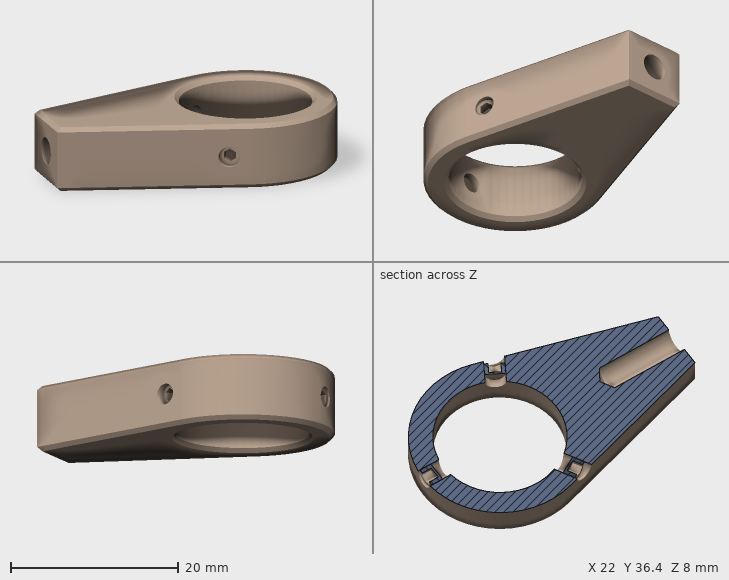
import cadquery as cq
import math

length = 36.4
thickness = 8.0
ring_diameter = 22.0
bore_diameter = 16.0
end_width = 8.0
edge_chamfer = 0.5

end_hole_diameter = 3.3
end_hole_depth = 10.0
drill_point_angle = 118.0

screw_angles = [90, 210, 330]
screw_diameter = 2.5
screw_length = 1.6
screw_face_radius = 10.65
socket_across_flats = 1.5
socket_depth = 1.27

ring_radius = ring_diameter / 2
end_y = ring_radius - length


def make_outline():
    """Ring outline joined to the narrow end by two tangent sides."""
    half_end = end_width / 2
    corner_distance = math.hypot(half_end, end_y)
    corner_angle = math.atan2(end_y, half_end)
    tangent_angle = corner_angle + math.acos(ring_radius / corner_distance)
    tangent_x = ring_radius * math.cos(tangent_angle)
    tangent_y = ring_radius * math.sin(tangent_angle)
    return (
        cq.Workplane("XY", origin=(0, 0, -thickness / 2))
        .moveTo(half_end, end_y)
        .lineTo(tangent_x, tangent_y)
        .threePointArc((0, ring_radius), (-tangent_x, tangent_y))
        .lineTo(-half_end, end_y)
        .close()
    )


def radial_plane(angle, radius):
    """Plane facing away from the ring axis, with its local Y axis along Z."""
    direction = cq.Vector(math.cos(math.radians(angle)), math.sin(math.radians(angle)), 0)
    sideways = cq.Vector(-direction.y, direction.x, 0)
    return cq.Plane(origin=direction * radius, xDir=sideways, normal=direction)


def make_end_hole():
    """Drilled hole with a conical bottom, revolved about the Y axis."""
    hole_radius = end_hole_diameter / 2
    point_length = hole_radius / math.tan(math.radians(drill_point_angle / 2))
    bottom_y = end_y + end_hole_depth
    return (
        cq.Workplane("XY")
        .moveTo(0, end_y)
        .lineTo(hole_radius, end_y)
        .lineTo(hole_radius, bottom_y)
        .lineTo(0, bottom_y + point_length)
        .close()
        .revolve(360, (0, 0), (0, 1))
    )


def make_screw_hole(angle):
    """Round cutter from the ring axis out through the wall."""
    return cq.Workplane(radial_plane(angle, 0)).circle(screw_diameter / 2).extrude(ring_diameter)


def make_arm():
    arm = make_outline().extrude(thickness)
    bore = cq.Workplane("XY").circle(bore_diameter / 2).extrude(thickness, both=True)
    arm = arm.cut(bore).faces("<Z or >Z").edges().chamfer(edge_chamfer)
    arm = arm.cut(make_end_hole())
    for angle in screw_angles:
        arm = arm.cut(make_screw_hole(angle))
    return arm


def make_set_screw(angle):
    """Headless screw with a hexagon socket whose corners point along Z."""
    across_corners = socket_across_flats / math.cos(math.radians(30))
    face = radial_plane(angle, screw_face_radius)
    body = cq.Workplane(face).circle(screw_diameter / 2).extrude(-screw_length)
    socket = (
        cq.Workplane(face)
        .transformed(rotate=(0, 0, 90))
        .polygon(6, across_corners)
        .extrude(-socket_depth)
    )
    return body.cut(socket)


arm = make_arm()
set_screws = [make_set_screw(angle) for angle in screw_angles]

result = cq.Compound.makeCompound([arm.val(), *[screw.val() for screw in set_screws]])